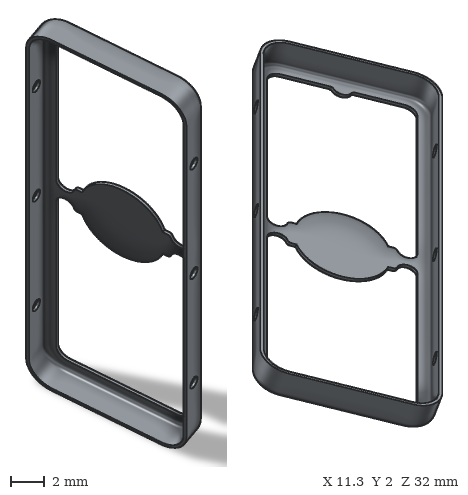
import cadquery as cq

width = 11.3
depth = 2.0
height = 32.0
wall = 0.22
corner_radius = 1.82
floor_edge_radius = 0.58

lip_width = 1.0
window_width = width - 2 * lip_width
window_height = height - 2 * lip_width

disc_radius = 3.0
arm_half_height = 1.0
scoop_radius = 0.65
arm_corner_radius = 0.3
scoop_x = window_width / 2 - scoop_radius

tab_radius = 0.65
tab_drop = 0.48
tab_flare_radius = 0.3

hole_diameter = 0.8
hole_pitch = 10.0
hole_from_rim = 0.8

rim_y = -depth / 2
floor_y = depth / 2 - wall


def rounded_block(size_x, size_z, radius, start_y, end_y):
    """Block with rounded corners in XZ, running along Y from start_y to end_y."""
    length = end_y - start_y
    block = cq.Workplane("XY").box(size_x, length, size_z)
    return block.translate((0, start_y + length / 2, 0)).edges("|Y").fillet(radius)


def floor_sketch():
    """XZ workplane on the outer floor face, extruding toward -Y."""
    return cq.Workplane("XZ", origin=(0, depth / 2, 0))


def make_frame():
    outer = rounded_block(width, height, corner_radius, rim_y, depth / 2)
    outer = outer.faces(">Y").edges().fillet(floor_edge_radius)
    cavity = rounded_block(width - 2 * wall, height - 2 * wall, corner_radius - wall, rim_y, floor_y)
    cavity = cavity.faces(">Y").edges().fillet(floor_edge_radius - wall)
    window = rounded_block(
        window_width, window_height, corner_radius - lip_width, rim_y, depth / 2
    )
    return outer.cut(cavity).cut(window)


def make_disc_and_arms():
    arms = floor_sketch().rect(window_width + lip_width, 2 * arm_half_height).extrude(wall)
    scoop_centers = [(x, z) for x in (-scoop_x, scoop_x) for z in (-arm_half_height, arm_half_height)]
    scoops = floor_sketch().pushPoints(scoop_centers).circle(scoop_radius).extrude(wall)
    arms = arms.cut(scoops)
    corner_x = scoop_x - scoop_radius
    reach = scoop_radius / 4
    inner_corners = cq.selectors.BoxSelector(
        (-corner_x - reach, rim_y, -height), (corner_x + reach, depth, height)
    )
    arms = arms.edges("|Y").edges(inner_corners).fillet(arm_corner_radius)
    disc = floor_sketch().circle(disc_radius).extrude(wall)
    return arms.union(disc)


def make_tab():
    lip_z = window_height / 2
    root_z = lip_z + lip_width / 2
    center_z = lip_z - tab_drop + tab_radius
    flare_z = lip_z - tab_flare_radius
    center_distance = tab_radius + tab_flare_radius
    flare_x = (center_distance**2 - (center_z - flare_z) ** 2) ** 0.5
    touch_x = flare_x * tab_radius / center_distance
    touch_z = center_z + (flare_z - center_z) * tab_radius / center_distance
    bisector_x = touch_x - flare_x
    bisector_z = touch_z - flare_z + tab_flare_radius
    scale = tab_flare_radius / (bisector_x**2 + bisector_z**2) ** 0.5
    middle_x = flare_x + bisector_x * scale
    middle_z = flare_z + bisector_z * scale
    return (
        floor_sketch()
        .moveTo(-flare_x, root_z)
        .lineTo(-flare_x, lip_z)
        .threePointArc((-middle_x, middle_z), (-touch_x, touch_z))
        .threePointArc((0, lip_z - tab_drop), (touch_x, touch_z))
        .threePointArc((middle_x, middle_z), (flare_x, lip_z))
        .lineTo(flare_x, root_z)
        .close()
        .extrude(wall)
    )


def make_side_holes():
    centers = [(rim_y + hole_from_rim, row * hole_pitch) for row in (-1, 0, 1)]
    return (
        cq.Workplane("YZ")
        .pushPoints(centers)
        .circle(hole_diameter / 2)
        .extrude(width, both=True)
    )


result = make_frame().cut(make_side_holes()).union(make_disc_and_arms()).union(make_tab())